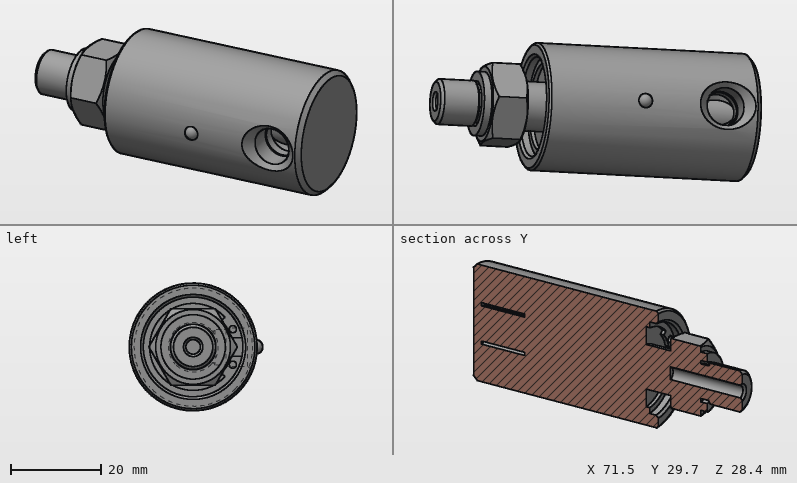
import cadquery as cq
import math

undercut_start_x = 8.6
undercut_floor_x = 9.1
collar_x = 9.3
nut_x = 11.0
nut_end_x = 19.1
body_x = 22.3
body_end_x = 71.5

stem_diameter = 10.15
stem_chamfer = 0.7
undercut_diameter = 8.6
collar_diameter = 14.3
collar_bore_diameter = 10.0
spindle_diameter = 11.0
stem_bore_diameter = 3.2
stem_bore_mouth_diameter = 4.3
stem_bore_depth = nut_end_x

nut_across_flats = 17.0
nut_face_diameter = 16.6
nut_chamfer_angle = 30.0

body_diameter = 28.4
front_chamfer = 0.5
rear_chamfer = 1.1
recess_diameter = 22.1
recess_mouth_diameter = 23.3
recess_depth = 3.2

ring_inner_diameter = 19.3
ring_setback = 2.3
ring_thickness = recess_depth - ring_setback
ring_gap = 4.1
ear_inner_radius = 8.6
ear_corner_radius = 0.7
ear_end_angle = 43.0
ear_hole_diameter = 1.6
ear_hole_radius = 9.65
ear_hole_z = 3.9

port_x = 63.55
port_diameter = 8.5
port_step_diameter = 7.9
port_step_depth = 7.0
port_mouth_diameter = 12.8
drill_tip_start = 4.8
drill_tip_angle = 118.0
chamber_diameter = 10.0
chamber_length = 11.45
chamber_spindle_diameter = 8.7

pin_x = 44.45
pin_diameter = 3.2
pin_projection = 1.3

body_radius = body_diameter / 2
chamber_x = port_x - chamber_length / 2


def disc(x, diameter, length):
    """Cylinder along X starting at x."""
    return cq.Workplane("YZ", origin=(x, 0, 0)).circle(diameter / 2).extrude(length)


def turned(points):
    """Solid of revolution about X from an outline of (x, radius) points."""
    return cq.Workplane("XY").polyline(points).close().revolve(360, (0, 0, 0), (1, 0, 0))


def side_turned(x, points):
    """Solid of revolution about a -Y axis at x from (radius, distance from the body axis) points."""
    outline = cq.Workplane("XY", origin=(x, 0, 0)).polyline([(r, -d) for r, d in points]).close()
    return outline.revolve(360, (0, 0, 0), (0, 1, 0))


def make_body():
    body = disc(body_x, body_diameter, body_end_x - body_x)
    body = body.faces("<X").chamfer(front_chamfer)
    body = body.faces(">X").chamfer(rear_chamfer)
    recess = disc(body_x, recess_diameter, recess_depth)
    mouth_bevel = (recess_mouth_diameter - recess_diameter) / 2
    mouth = turned([
        (body_x, 0),
        (body_x, recess_mouth_diameter / 2),
        (body_x + mouth_bevel, recess_diameter / 2),
        (body_x + mouth_bevel, 0),
    ])
    return body.cut(recess).cut(mouth)


def cut_port(body):
    mouth_r = port_mouth_diameter / 2
    port_r = port_diameter / 2
    step_r = port_step_diameter / 2
    tip_depth = step_r / math.tan(math.radians(drill_tip_angle / 2))
    bevel_end = body_radius - (mouth_r - port_r)
    step_at = body_radius - port_step_depth
    port = side_turned(port_x, [
        (0, body_radius),
        (mouth_r, body_radius),
        (port_r, bevel_end),
        (port_r, step_at),
        (step_r, step_at),
        (step_r, drill_tip_start),
        (0, drill_tip_start - tip_depth),
    ])
    chamber = disc(chamber_x, chamber_diameter, chamber_length)
    return body.cut(chamber).cut(port)


def make_ring():
    ring_x = body_x + ring_setback
    ring = disc(ring_x, recess_diameter, ring_thickness)
    ring = ring.cut(disc(ring_x, ring_inner_diameter, ring_thickness))
    ears = disc(ring_x, recess_diameter, ring_thickness)
    ears = ears.cut(disc(ring_x, 2 * ear_inner_radius, ring_thickness))
    reach = body_diameter
    half_width = reach * math.tan(math.radians(ear_end_angle))
    sector = (
        cq.Workplane("YZ", origin=(ring_x, 0, 0))
        .polyline([(0, 0), (-reach, half_width), (-reach, -half_width)])
        .close()
        .extrude(ring_thickness)
    )
    ring = ring.union(ears.intersect(sector))
    gap = cq.Workplane("XY").box(ring_thickness, reach, ring_gap, centered=(False, False, True))
    ring = ring.cut(gap.translate((ring_x, -reach, 0)))
    gap_corners = cq.selectors.BoxSelector(
        (ring_x, -ring_inner_diameter / 2, -ring_gap),
        (ring_x + ring_thickness, 0, ring_gap),
    )
    ring = ring.edges("|X").edges(gap_corners).fillet(ear_corner_radius)
    ear_hole_y = -math.sqrt(ear_hole_radius**2 - ear_hole_z**2)
    holes = (
        cq.Workplane("YZ", origin=(ring_x, 0, 0))
        .pushPoints([(ear_hole_y, ear_hole_z), (ear_hole_y, -ear_hole_z)])
        .circle(ear_hole_diameter / 2)
        .extrude(ring_thickness)
    )
    return ring.cut(holes)


def make_nut():
    corner_r = nut_across_flats / math.sqrt(3)
    face_r = nut_face_diameter / 2
    bevel = (corner_r - face_r) * math.tan(math.radians(nut_chamfer_angle))
    hexagon = (
        cq.Workplane("YZ", origin=(nut_x, 0, 0))
        .polygon(6, 2 * corner_r)
        .extrude(nut_end_x - nut_x)
    )
    envelope = turned([
        (nut_x, 0),
        (nut_x, face_r),
        (nut_x + bevel, corner_r),
        (nut_end_x - bevel, corner_r),
        (nut_end_x, face_r),
        (nut_end_x, 0),
    ])
    return hexagon.intersect(envelope)


def make_spindle():
    stem_r = stem_diameter / 2
    undercut_r = undercut_diameter / 2
    collar_r = collar_diameter / 2
    collar_bore_r = collar_bore_diameter / 2
    spindle_r = spindle_diameter / 2
    inner_r = chamber_spindle_diameter / 2
    return turned([
        (0, 0),
        (0, stem_r - stem_chamfer),
        (stem_chamfer, stem_r),
        (undercut_start_x, stem_r),
        (undercut_floor_x, undercut_r),
        (nut_x, undercut_r),
        (nut_x, collar_bore_r),
        (collar_x, collar_bore_r),
        (collar_x, collar_r),
        (nut_x, collar_r),
        (nut_end_x, collar_r),
        (nut_end_x, spindle_r),
        (chamber_x, spindle_r),
        (chamber_x, inner_r),
        (chamber_x + chamber_length, inner_r),
        (chamber_x + chamber_length, 0),
    ])


def make_stem_bore():
    bore_r = stem_bore_diameter / 2
    mouth_r = stem_bore_mouth_diameter / 2
    return turned([
        (0, 0),
        (0, mouth_r),
        (mouth_r - bore_r, bore_r),
        (stem_bore_depth, bore_r),
        (stem_bore_depth, 0),
    ])


def make_pin():
    pin_r = pin_diameter / 2
    ball_y = -(body_radius + pin_projection - pin_r)
    return cq.Workplane("XY").sphere(pin_r).translate((pin_x, ball_y, 0))


result = cut_port(make_body())
result = result.union(make_ring()).union(make_spindle()).union(make_nut()).union(make_pin())
result = result.cut(make_stem_bore())